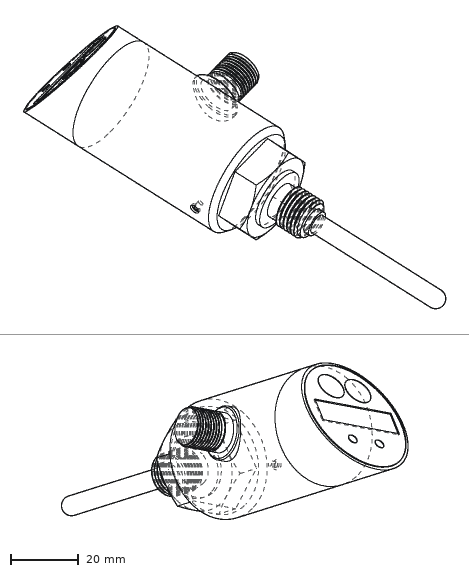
import cadquery as cq
import math


LENGTH = 151.0
HOUSING_DIA = 36.4
HOUSING_RADIUS = HOUSING_DIA / 2
CAP_END = 25.7
HOUSING_END = 78.5
HOUSING_CHAMFER = 1.8

FACE_ANGLE = math.radians(60)
FACE_SINE = math.sin(FACE_ANGLE)
FACE_COSINE = math.cos(FACE_ANGLE)
FACE_RUN = HOUSING_DIA / math.tan(FACE_ANGLE)
PANEL_RIM = 0.9
PANEL_RADIUS = HOUSING_RADIUS - PANEL_RIM
PANEL_RISE = 0.3
DISPLAY_WIDTH = 28.4
DISPLAY_HEIGHT = 8.2
DISPLAY_DEPTH = 0.5
DISPLAY_SHIFT = 0.6
DISPLAY_OFFSET = -0.2
ITEM_SPACING = 10.0
ITEM_RISE = 0.2
BUTTON_DIA = 9.0
BUTTON_OFFSET = 10.7
LAMP_DIA = 3.0
LAMP_OFFSET = -10.3

SCREW_HOLE_X = 71.5
SCREW_HOLE_DIA = 1.7
SCREW_HOLE_DEPTH = 3.0
SCREW_SINK_DIA = 3.0
SCREW_SINK_DEPTH = 0.8

HEX_FLATS = 27.0
HEX_CORNERS = HEX_FLATS / math.cos(math.radians(30))
HEX_END = 87.6
HEX_CHAMFER_LENGTH = 1.0
WASHER_DIA = 18.9
WASHER_END = 89.1
NECK_DIA = 11.5
THREAD_START = 91.5
THREAD_END = 101.5
THREAD_DIA = 13.3
THREAD_PITCH = 1.33
COLLAR_DIA = 8.2
COLLAR_END = 103.3
PROBE_DIA = 6.0

CONNECTOR_X = 50.5
DEPTH = 50.5
CONNECTOR_TOP = DEPTH - HOUSING_RADIUS
CONNECTOR_DIA = 12.1
CONNECTOR_ROOT_DIA = 11.2
CONNECTOR_THREAD_START = 22.7
CONNECTOR_PITCH = 1.0
FLANGE_DIA = 16.3
FLANGE_TOP = 19.2
FLANGE_CHAMFER = 0.5

BASE_SHARE = 0.9
CREST_SHARE = 0.15
RIDGE_OVERLAP = 0.08


def rod_x(diameter, start, end):
    """Cylinder on the X axis."""
    plane = cq.Plane(origin=(start, 0, 0), xDir=(0, 0, 1), normal=(1, 0, 0))
    return cq.Workplane(plane).circle(diameter / 2).extrude(end - start)


def connector_rod(diameter, end):
    """Cylinder on the connector's axis, from the main axis to y = end."""
    plane = cq.Plane(origin=(CONNECTOR_X, 0, 0), xDir=(1, 0, 0), normal=(0, 1, 0))
    return cq.Workplane(plane).circle(diameter / 2).extrude(end)


def thread_ridge(crest_dia, root_dia, pitch, length):
    """Helical ridge round the Z axis; its middle line climbs from z = 0 to z = length."""
    base_radius = root_dia / 2 - RIDGE_OVERLAP
    half_base = pitch * BASE_SHARE / 2
    half_crest = pitch * CREST_SHARE / 2
    helix = cq.Wire.makeHelix(pitch, length, base_radius)
    profile = cq.Workplane("XZ").polyline(
        [
            (base_radius, -half_base),
            (crest_dia / 2, -half_crest),
            (crest_dia / 2, half_crest),
            (base_radius, half_base),
        ]
    ).close()
    return profile.sweep(cq.Workplane(helix), isFrenet=True)


def face_sketch(height):
    """Workplane centred on the slanted face, `height` above it, with local Y pointing up the slope."""
    normal = cq.Vector(-FACE_SINE, 0, FACE_COSINE)
    origin = cq.Vector(FACE_RUN / 2, 0, 0) + normal * height
    return cq.Workplane(cq.Plane(origin=origin, xDir=(0, -1, 0), normal=normal))


def make_cap():
    """Cylinder cut off at a slant, with a raised panel, a sunken display window, buttons and lamps."""
    outline = [
        (0, -HOUSING_RADIUS),
        (CAP_END, -HOUSING_RADIUS),
        (CAP_END, HOUSING_RADIUS),
        (FACE_RUN, HOUSING_RADIUS),
    ]
    wedge = cq.Workplane("XZ").polyline(outline).close().extrude(HOUSING_RADIUS, both=True)
    cap = rod_x(HOUSING_DIA, 0, CAP_END).intersect(wedge)

    cap = cap.union(face_sketch(0).ellipse(PANEL_RADIUS, PANEL_RADIUS / FACE_SINE).extrude(PANEL_RISE))

    window = (
        face_sketch(PANEL_RISE)
        .center(DISPLAY_SHIFT, DISPLAY_OFFSET)
        .rect(DISPLAY_WIDTH, DISPLAY_HEIGHT)
        .extrude(-DISPLAY_DEPTH)
    )
    cap = cap.cut(window)

    item_places = [(-ITEM_SPACING / 2, 0), (ITEM_SPACING / 2, 0)]
    for diameter, offset in ((BUTTON_DIA, BUTTON_OFFSET), (LAMP_DIA, LAMP_OFFSET)):
        discs = (
            face_sketch(PANEL_RISE)
            .center(0, offset)
            .pushPoints(item_places)
            .circle(diameter / 2)
            .extrude(ITEM_RISE)
        )
        cap = cap.union(discs)
    return cap


def make_hexagon():
    """Hexagon with flats facing +Z and -Z and its corners chamfered at the +X end."""
    prism = (
        cq.Workplane("YZ")
        .workplane(offset=HOUSING_END)
        .polygon(6, HEX_CORNERS)
        .extrude(HEX_END - HOUSING_END)
    )
    round_blank = rod_x(HEX_CORNERS, HOUSING_END, HEX_END)
    corner_height = (HEX_CORNERS - HEX_FLATS) / 2
    round_blank = round_blank.faces(">X").chamfer(HEX_CHAMFER_LENGTH, corner_height)
    return prism.intersect(round_blank)


def make_probe():
    """Washer, threaded neck, collar and round-nosed probe rod."""
    probe_radius = PROBE_DIA / 2
    probe = rod_x(WASHER_DIA, HEX_END, WASHER_END)
    probe = probe.union(rod_x(NECK_DIA, WASHER_END, THREAD_END))
    probe = probe.union(rod_x(COLLAR_DIA, THREAD_END, COLLAR_END))
    probe = probe.union(rod_x(PROBE_DIA, COLLAR_END, LENGTH - probe_radius))
    tip = cq.Workplane("XY").sphere(probe_radius).translate((LENGTH - probe_radius, 0, 0))
    probe = probe.union(tip)

    ridge_start = THREAD_START + THREAD_PITCH / 2
    ridge_length = THREAD_END - THREAD_START - THREAD_PITCH
    ridge = thread_ridge(THREAD_DIA, NECK_DIA, THREAD_PITCH, ridge_length)
    ridge = ridge.rotate((0, 0, 0), (0, 1, 0), 90)
    return probe.union(ridge.translate((ridge_start, 0, 0)))


def make_connector():
    """Threaded stub with a round flange, rising along +Y from the main axis."""
    plain_end = CONNECTOR_THREAD_START - CONNECTOR_PITCH / 2
    connector = connector_rod(FLANGE_DIA, FLANGE_TOP).faces(">Y").chamfer(FLANGE_CHAMFER)
    connector = connector.union(connector_rod(CONNECTOR_DIA, plain_end))
    connector = connector.union(connector_rod(CONNECTOR_ROOT_DIA, CONNECTOR_TOP))

    ridge_start = CONNECTOR_THREAD_START + CONNECTOR_PITCH / 2
    ridge_length = CONNECTOR_TOP - CONNECTOR_THREAD_START - CONNECTOR_PITCH
    ridge = thread_ridge(CONNECTOR_DIA, CONNECTOR_ROOT_DIA, CONNECTOR_PITCH, ridge_length)
    ridge = ridge.rotate((0, 0, 0), (1, 0, 0), -90)
    return connector.union(ridge.translate((CONNECTOR_X, ridge_start, 0)))


def make_screw_hole():
    """Counterbored blind hole entering the housing from -Y."""
    plane = cq.Plane(origin=(SCREW_HOLE_X, -HOUSING_RADIUS, 0), xDir=(1, 0, 0), normal=(0, -1, 0))
    hole = cq.Workplane(plane).circle(SCREW_HOLE_DIA / 2).extrude(-SCREW_HOLE_DEPTH)
    sink = cq.Workplane(plane).circle(SCREW_SINK_DIA / 2).extrude(-SCREW_SINK_DEPTH)
    return hole.union(sink)


def make_housing():
    """Chamfered cylinder carrying the hexagon, probe and connector."""
    housing = rod_x(HOUSING_DIA, CAP_END, HOUSING_END).faces(">X").chamfer(HOUSING_CHAMFER)
    housing = housing.union(make_hexagon())
    housing = housing.union(make_probe())
    housing = housing.union(make_connector())
    return housing.cut(make_screw_hole())


cap = make_cap()
housing = make_housing()
result = cq.Compound.makeCompound([cap.solids().val(), housing.solids().val()])